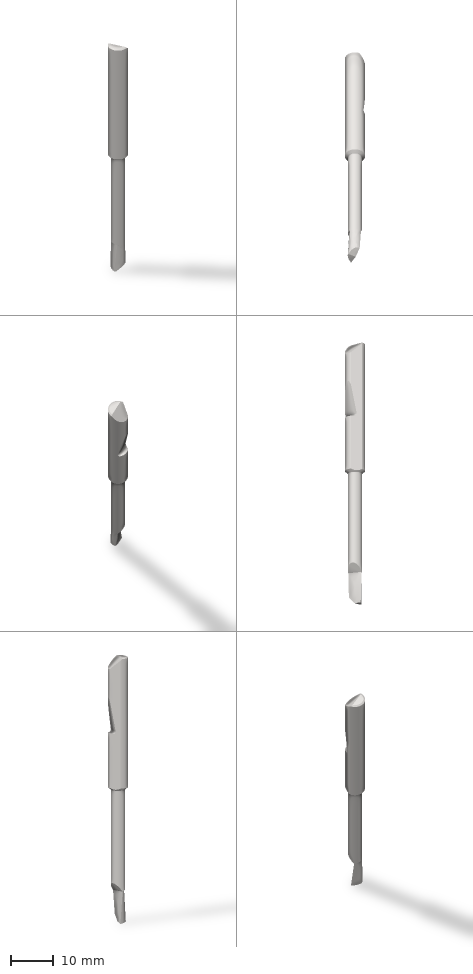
import cadquery as cq
import math

TOTAL_LENGTH = 63.5
BIG = 20.0

SHANK_RADIUS = 4.76 / 2
SHANK_LENGTH = 31.75
TOP_CHAMFER_WIDTH = 0.4
TOP_CHAMFER_HEIGHT = 0.25
SHOULDER_HEIGHT = 0.65
FLAT_DIRECTION = 145.0
FLAT_DISTANCE = 2.0
BEVEL_START_Y = -0.48

NOTCH_RAMP_START = 9.6
NOTCH_END = 18.2
NOTCH_FLOOR_Y = 1.1
NOTCH_CORNER_RADIUS = 0.6

NECK_RADIUS = 1.67

TIP_HEIGHT = 7.65
TIP_RADIUS = 1.87
CUTTING_POINT = (-1.88, 0.0)
RAKE_END_Y = 0.1
RELIEF_END_X = -0.25
NECK_EDGE_Y = -0.65
NECK_RAKE_END_Y = 0.75
NECK_RELIEF_END_X = 0.45
RELIEF_BULGE = 0.15
RAKE_RUNOUT_HEIGHT = 2.0
RELIEF_RUNOUT_SLOPE = 1.0
END_CLEARANCE_ANGLE = 7.0
END_BEVEL_X = 0.2

SHANK_BOTTOM = TOTAL_LENGTH - SHANK_LENGTH


def on_circle_at_x(radius, x, side):
    return (x, side * math.sqrt(radius**2 - x**2))


def on_circle_at_y(radius, y, side):
    return (side * math.sqrt(radius**2 - y**2), y)


def arc_middle(start, end, bulge):
    """Point beside the chord's middle, off by bulge to the right of the start-to-end direction."""
    dx = end[0] - start[0]
    dy = end[1] - start[1]
    length = math.hypot(dx, dy)
    return (
        (start[0] + end[0]) / 2 + bulge * dy / length,
        (start[1] + end[1]) / 2 - bulge * dx / length,
    )


NECK_EDGE = on_circle_at_y(NECK_RADIUS, NECK_EDGE_Y, -1)
NECK_RAKE_END = on_circle_at_y(NECK_RADIUS, NECK_RAKE_END_Y, 1)
NECK_RELIEF_END = on_circle_at_x(NECK_RADIUS, NECK_RELIEF_END_X, -1)


def make_shank_and_neck():
    profile = [
        (0, TIP_HEIGHT),
        (NECK_RADIUS, TIP_HEIGHT),
        (NECK_RADIUS, SHANK_BOTTOM),
        (SHANK_RADIUS, SHANK_BOTTOM + SHOULDER_HEIGHT),
        (SHANK_RADIUS, TOTAL_LENGTH - TOP_CHAMFER_HEIGHT),
        (SHANK_RADIUS - TOP_CHAMFER_WIDTH, TOTAL_LENGTH),
        (0, TOTAL_LENGTH),
    ]
    return cq.Workplane("XZ").polyline(profile).close().revolve(360, (0, 0), (0, 1))


def make_flat_cutter():
    return (
        cq.Workplane("XY")
        .box(BIG, BIG, SHANK_LENGTH, centered=(False, True, False))
        .translate((FLAT_DISTANCE, 0, SHANK_BOTTOM))
        .rotate((0, 0, 0), (0, 0, 1), FLAT_DIRECTION)
    )


def make_top_bevel_cutter():
    profile = [
        (BEVEL_START_Y, TOTAL_LENGTH),
        (BEVEL_START_Y + BIG, TOTAL_LENGTH - BIG),
        (BEVEL_START_Y + BIG, TOTAL_LENGTH),
    ]
    return cq.Workplane("YZ").polyline(profile).close().extrude(BIG / 2, both=True)


def make_notch_cutter():
    end_z = TOTAL_LENGTH - NOTCH_END
    corner_z = end_z + NOTCH_CORNER_RADIUS
    arc_inset = NOTCH_CORNER_RADIUS * (1 - math.sqrt(0.5))
    return (
        cq.Workplane("YZ")
        .moveTo(SHANK_RADIUS, TOTAL_LENGTH - NOTCH_RAMP_START)
        .lineTo(NOTCH_FLOOR_Y, corner_z)
        .threePointArc(
            (NOTCH_FLOOR_Y + arc_inset, end_z + arc_inset),
            (NOTCH_FLOOR_Y + NOTCH_CORNER_RADIUS, end_z),
        )
        .lineTo(BIG, end_z)
        .lineTo(BIG, TOTAL_LENGTH - NOTCH_RAMP_START)
        .close()
        .extrude(BIG / 2, both=True)
    )


def make_tip_wire(z, edge, rake_end, relief_end, radius):
    """Closed section: relief arc, outer round, straight rake line back to the cutting edge."""
    start_angle = math.atan2(relief_end[1], relief_end[0])
    end_angle = math.atan2(rake_end[1], rake_end[0])
    middle_angle = (start_angle + end_angle) / 2
    round_middle = (radius * math.cos(middle_angle), radius * math.sin(middle_angle))
    return (
        cq.Workplane("XY", origin=(0, 0, z))
        .moveTo(*edge)
        .threePointArc(arc_middle(edge, relief_end, RELIEF_BULGE), relief_end)
        .threePointArc(round_middle, rake_end)
        .close()
        .val()
    )


def make_tip():
    lower = make_tip_wire(
        0,
        CUTTING_POINT,
        on_circle_at_y(TIP_RADIUS, RAKE_END_Y, 1),
        on_circle_at_x(TIP_RADIUS, RELIEF_END_X, -1),
        TIP_RADIUS,
    )
    upper = make_tip_wire(TIP_HEIGHT, NECK_EDGE, NECK_RAKE_END, NECK_RELIEF_END, NECK_RADIUS)
    tip = cq.Workplane("XY").add(cq.Solid.makeLoft([lower, upper], True))
    return tip.cut(make_end_cutter())


def make_end_cutter():
    """Everything below the sloped end face and the 45 degree end bevel."""
    bevel_start_z = (END_BEVEL_X - CUTTING_POINT[0]) * math.tan(math.radians(END_CLEARANCE_ANGLE))
    profile = [
        (CUTTING_POINT[0], 0),
        (END_BEVEL_X, bevel_start_z),
        (END_BEVEL_X + BIG, bevel_start_z + BIG),
        (END_BEVEL_X + BIG, 0),
    ]
    return cq.Workplane("XZ").polyline(profile).close().extrude(BIG / 2, both=True)


def make_ramp_cutter(start, end, rise_per_mm, offset=0):
    """Wedge under a ramp at the neck's lower end.

    The ramp starts at an offset to the left of the start-to-end line and climbs away from that line.
    """
    along = cq.Vector(end[0] - start[0], end[1] - start[1], 0).normalized()
    outward = cq.Vector(-along.y, along.x, 0)
    plane = cq.Plane(origin=(start[0], start[1], TIP_HEIGHT), xDir=outward, normal=along)
    wedge = [(offset, 0), (offset + BIG, 0), (offset + BIG, BIG * rise_per_mm)]
    return cq.Workplane(plane).polyline(wedge).close().extrude(BIG / 2, both=True)


def make_rake_runout_cutter():
    width = NECK_RAKE_END[0] - NECK_EDGE[0]
    slope = (NECK_RAKE_END_Y - NECK_EDGE_Y) / width
    rake_line_distance = (NECK_EDGE_Y - slope * NECK_EDGE[0]) / math.hypot(1, slope)
    runout_width = NECK_RADIUS - rake_line_distance
    return make_ramp_cutter(NECK_EDGE, NECK_RAKE_END, RAKE_RUNOUT_HEIGHT / runout_width)


def make_relief_runout_cutter():
    return make_ramp_cutter(NECK_RELIEF_END, NECK_EDGE, RELIEF_RUNOUT_SLOPE, RELIEF_BULGE)


body = make_shank_and_neck()
for cutter in (
    make_flat_cutter(),
    make_top_bevel_cutter(),
    make_notch_cutter(),
    make_rake_runout_cutter(),
    make_relief_runout_cutter(),
):
    body = body.cut(cutter)

result = body.union(make_tip())